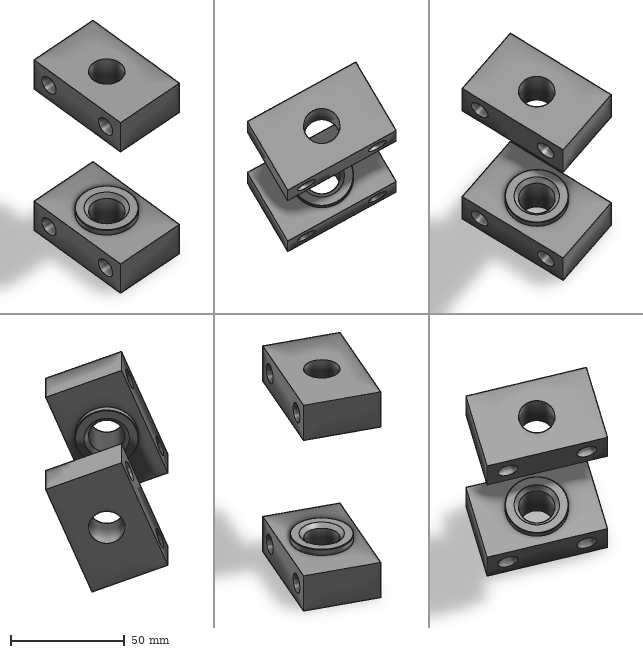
import cadquery as cq

overall_height = 105.0
block_length = 55.0
block_depth = 36.0

boss_height = 3.0
block_height = 18.0
boss_diameter = 28.0
boss_edge_chamfer = 0.25

bore_diameter = 16.0
bore_mouth_diameter = 20.0
bore_chamfer = (bore_mouth_diameter - bore_diameter) / 2

bolt_hole_diameter = 9.0
bolt_hole_spacing = 36.0

block_bottom = -overall_height / 2
boss_base = block_bottom + block_height
boss_top = boss_base + boss_height


def make_block():
    """Rectangular block, its outer face at the lower end of the assembly."""
    return (
        cq.Workplane("XY", origin=(0, 0, block_bottom))
        .rect(block_length, block_depth)
        .extrude(block_height)
    )


def make_boss():
    """Round boss with its rim edge broken by a small chamfer."""
    return (
        cq.Workplane("XY", origin=(0, 0, boss_base))
        .circle(boss_diameter / 2)
        .extrude(boss_height)
        .faces(">Z")
        .chamfer(boss_edge_chamfer)
    )


def make_bore():
    """Cutter for the through bore and its conical lead-in."""
    bore_radius = bore_diameter / 2
    mouth_radius = bore_mouth_diameter / 2
    return (
        cq.Workplane("XZ")
        .moveTo(0, block_bottom)
        .lineTo(bore_radius, block_bottom)
        .lineTo(bore_radius, boss_top - bore_chamfer)
        .lineTo(mouth_radius, boss_top)
        .lineTo(0, boss_top)
        .close()
        .revolve(360, (0, 0, 0), (0, 1, 0))
    )


def make_bolt_holes():
    """Cutters for the two bolt holes, at mid height of the block."""
    return (
        cq.Workplane("XZ", origin=(0, 0, block_bottom + block_height / 2))
        .pushPoints([(side * bolt_hole_spacing / 2, 0) for side in (-1, 1)])
        .circle(bolt_hole_diameter / 2)
        .extrude(block_depth, both=True)
    )


def make_bearing_block():
    """Complete lower bearing block, boss facing up."""
    return make_block().union(make_boss()).cut(make_bore()).cut(make_bolt_holes())


bearing_blocks = []
for turn in (0, 180):
    bearing_block = make_bearing_block().rotate((0, 0, 0), (1, 0, 0), turn)
    bearing_blocks.append(bearing_block.val())

result = cq.Compound.makeCompound(bearing_blocks)